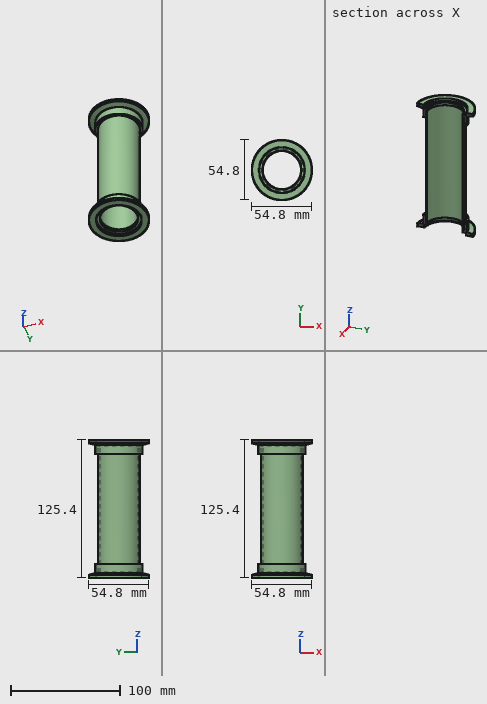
import cadquery as cq

total_length = 125.4
flange_diameter = 54.8

rim_thickness = 2.8
cone_end_depth = 4.4
hub_end_depth = 12.8
recess_depth = 2.6
tube_seat_depth = 5.4

hub_diameter = 43.1
recess_diameter = 41.4
tube_diameter = 38.3
bore_diameter = 34.9


def make_tube():
    """Plain tube whose ends rest on the seats inside the two flanges."""
    tube_length = total_length - 2 * tube_seat_depth
    return (
        cq.Workplane("XY")
        .workplane(offset=tube_seat_depth)
        .circle(tube_diameter / 2)
        .circle(bore_diameter / 2)
        .extrude(tube_length)
    )


def make_bottom_flange():
    """Clamp flange with its sealing face at Z = 0 and its hub pointing up."""
    section = [
        (recess_diameter / 2, 0),
        (flange_diameter / 2, 0),
        (flange_diameter / 2, rim_thickness),
        (hub_diameter / 2, cone_end_depth),
        (hub_diameter / 2, hub_end_depth),
        (tube_diameter / 2, hub_end_depth),
        (tube_diameter / 2, tube_seat_depth),
        (bore_diameter / 2, tube_seat_depth),
        (bore_diameter / 2, recess_depth),
        (recess_diameter / 2, recess_depth),
    ]
    return cq.Workplane("XZ").polyline(section).close().revolve(360, (0, 0), (0, 1))


tube = make_tube()

bottom_flange = make_bottom_flange()
middle = (0, 0, total_length / 2)
flanges = [bottom_flange, bottom_flange.mirror("XY", middle)]

result = cq.Compound.makeCompound([tube.val(), *[flange.val() for flange in flanges]])